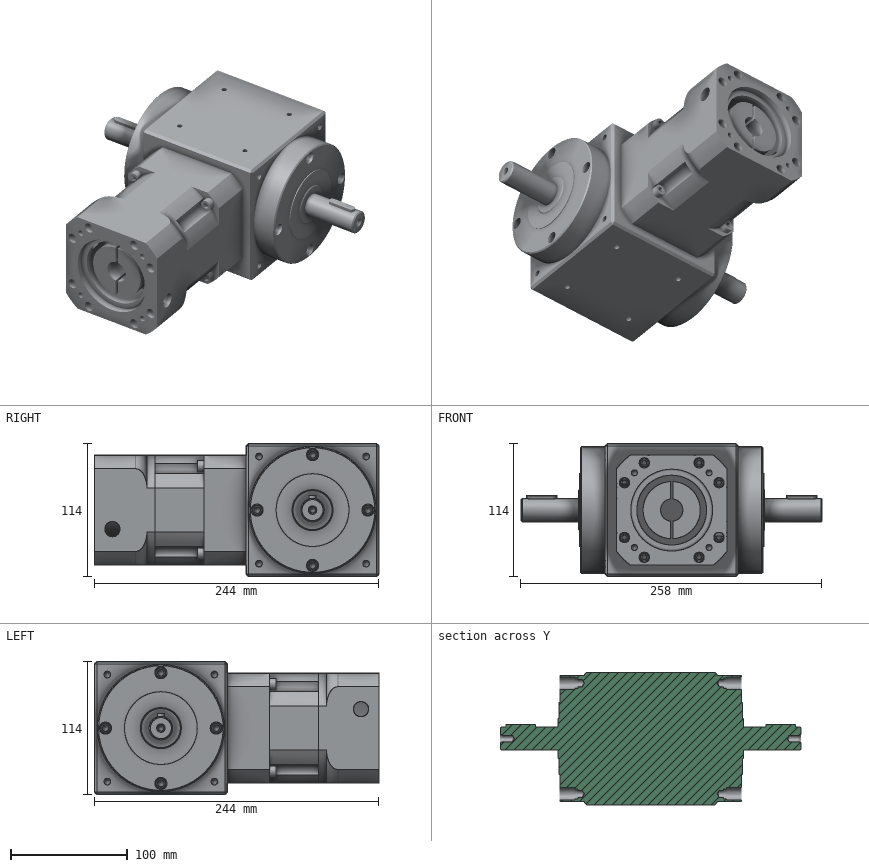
import cadquery as cq
import math


LENGTH = 258.0
HOUSING_SIDE = 114.0
HOUSING_HALF = HOUSING_SIDE / 2
HOUSING_CHAMFER = 2.0
TAPPED_DEPTH = 10.3
TOP_HOLE_RADIUS = 2.3
TOP_HOLE_OFFSET = 33.8
SIDE_HOLE_RADIUS = 2.8
SIDE_HOLE_OFFSET = 46.0

FLANGE_FACE = 78.2
FLANGE_RADIUS = 54.5
FLANGE_CHAMFER = 1.0
COVER_RADIUS = 31.2
SEAL_RADIUS = 17.5
SEAL_CHAMFER = 0.8
COVER_STEP = 0.8
FLANGE_SCREW_CIRCLE = 47.5
FLANGE_RECESS_STEPS = ((5.2, 13.0), (4.0, 2.5))
FLANGE_CORE_RADIUS = 2.8
FLANGE_CORE_DEPTH = 3.9
SHAFT_RADIUS = 10.0
SHAFT_CHAMFER = 1.0
CENTRE_HOLE_RADIUS = 2.5
CENTRE_HOLE_DEPTH = 10.3
COUNTERSINK_RADIUS = 3.5
COUNTERSINK_DEPTH = 2.0

KEY_LENGTH = 25.8
KEY_WIDTH = 6.0
KEY_TOP = 12.5
KEY_END_GAP = 4.6

STAGE_WIDTH = 94.5
OUTER_CORNER_RADIUS = 59.0
NECK_CORNER_RADIUS = 50.8
BLOCK_END = -93.1
GEAR_STAGE_END = -135.0
NECK_END = -141.6
ADAPTER_END = -187.0
SHOULDER_FILLET = 10.3
STAGE_SCREW_OFFSET = 37.5
SCREW_HEAD_RADIUS = 5.0
SCREW_HEAD_HEIGHT = 5.7
SCREW_SOCKET_WIDTH = 5.0
SCREW_SOCKET_DEPTH = 3.0
GROOVE_RADIUS = 6.7

PILOT_RADIUS = 35.0
PILOT_DEPTH = 6.2
CAVITY_RADIUS = 30.0
CAVITY_DEPTH = 33.5
HUB_RADIUS = 24.5
HUB_RECESS = 7.7
HUB_BORE_RADIUS = 9.5
HUB_SLOT_WIDTH = 2.3
ACCESS_HOLE_RADIUS = 6.5
ACCESS_HOLE_SETBACK = 15.5
ACCESS_HOLE_HEIGHT = 16.3
MOTOR_HOLE_NEAR = 23.5
MOTOR_HOLE_FAR = 40.5
MOTOR_RECESS_STEPS = ((4.5, 13.0), (3.4, 2.5), (2.0, 2.5))
ADAPTER_TAPPED_RADIUS = 2.5
ADAPTER_TAPPED_OFFSET = 32.0

DRILL_POINT_ANGLE = 118.0
DRILL_POINT_SLOPE = 1 / math.tan(math.radians(DRILL_POINT_ANGLE / 2))

X_AXIS = cq.Vector(1, 0, 0)
Y_AXIS = cq.Vector(0, 1, 0)
Z_AXIS = cq.Vector(0, 0, 1)
SIGNS = (-1, 1)


def cylinder(radius, height, start, direction):
    return cq.Workplane(cq.Solid.makeCylinder(radius, height, start, direction))


def drilled_hole(radius, depth, start, direction):
    """Cutter for a blind hole with a conical bottom."""
    point_height = radius * DRILL_POINT_SLOPE
    point = cq.Solid.makeCone(radius, 0, point_height, start + direction * depth, direction)
    return cylinder(radius, depth, start, direction).union(cq.Workplane(point))


def stepped_recess(steps, start, direction):
    """Cutter made of coaxial (radius, length) steps, the widest one first."""
    recess = cq.Workplane()
    for radius, length in steps:
        recess = recess.add(cylinder(radius, length, start, direction))
        start = start + direction * length
    return recess.combine()


def rounded_square(start_y, end_y, corner_radius, shoulder_fillet=0):
    """Square bar along -Y cut to a cylinder, which may have a filleted rim at its start."""
    length = start_y - end_y
    bar = cq.Workplane("XY").box(STAGE_WIDTH, length, STAGE_WIDTH)
    bar = bar.translate((0, (start_y + end_y) / 2, 0))
    envelope = cylinder(corner_radius, length, cq.Vector(0, start_y, 0), -Y_AXIS)
    if shoulder_fillet:
        envelope = envelope.faces(">Y").edges().fillet(shoulder_fillet)
    return bar.intersect(envelope)


def square_pattern(offset):
    """Four corner positions of a square centred on the origin."""
    return [(a * offset, b * offset) for a in SIGNS for b in SIGNS]



def housing():
    body = cq.Workplane("XY").box(HOUSING_SIDE, HOUSING_SIDE, HOUSING_SIDE)
    body = body.edges().chamfer(HOUSING_CHAMFER)
    for side in SIGNS:
        for x, y in square_pattern(TOP_HOLE_OFFSET):
            start = cq.Vector(x, y, side * HOUSING_HALF)
            body = body.cut(drilled_hole(TOP_HOLE_RADIUS, TAPPED_DEPTH, start, Z_AXIS * -side))
        for y, z in square_pattern(SIDE_HOLE_OFFSET):
            start = cq.Vector(side * HOUSING_HALF, y, z)
            body = body.cut(drilled_hole(SIDE_HOLE_RADIUS, TAPPED_DEPTH, start, X_AXIS * -side))
    return body


def flange_screw_recess(y, z):
    """Cutter for one stepped recess in the flange on the +X side, ending in a drill point."""
    recess = stepped_recess(FLANGE_RECESS_STEPS, cq.Vector(FLANGE_FACE, y, z), -X_AXIS)
    depth = sum(length for radius, length in FLANGE_RECESS_STEPS)
    core = cq.Vector(FLANGE_FACE - depth, y, z)
    return recess.union(drilled_hole(FLANGE_CORE_RADIUS, FLANGE_CORE_DEPTH, core, -X_AXIS))


def output_flange():
    """Flange on the +X side with its bearing cover, seal and screw recesses."""
    start = cq.Vector(HOUSING_HALF, 0, 0)
    thickness = FLANGE_FACE - HOUSING_HALF
    flange = cylinder(FLANGE_RADIUS, thickness, start, X_AXIS).faces(">X").chamfer(FLANGE_CHAMFER)
    flange = flange.union(cylinder(COVER_RADIUS, thickness + COVER_STEP, start, X_AXIS))
    seal = cylinder(SEAL_RADIUS, thickness + 2 * COVER_STEP, start, X_AXIS)
    seal = seal.faces(">X").chamfer(SEAL_CHAMFER)
    flange = flange.union(seal)
    for y, z in ((1, 0), (0, 1), (-1, 0), (0, -1)):
        flange = flange.cut(flange_screw_recess(y * FLANGE_SCREW_CIRCLE, z * FLANGE_SCREW_CIRCLE))
    return flange


def output_shaft():
    """Shaft end on the +X side with its key and centre hole."""
    end = LENGTH / 2
    start = cq.Vector(HOUSING_HALF, 0, 0)
    shaft = cylinder(SHAFT_RADIUS, end - HOUSING_HALF, start, X_AXIS)
    shaft = shaft.faces(">X").chamfer(SHAFT_CHAMFER)
    key_centre = end - KEY_END_GAP - KEY_LENGTH / 2
    key = cq.Workplane("XY").center(key_centre, 0).slot2D(KEY_LENGTH, KEY_WIDTH).extrude(KEY_TOP)
    tip = cq.Vector(end, 0, 0)
    countersink = cq.Solid.makeCone(
        COUNTERSINK_RADIUS, CENTRE_HOLE_RADIUS, COUNTERSINK_DEPTH, tip, -X_AXIS
    )
    centre_hole = drilled_hole(CENTRE_HOLE_RADIUS, CENTRE_HOLE_DEPTH, tip, -X_AXIS)
    return shaft.union(key).cut(centre_hole).cut(cq.Workplane(countersink))


def corner_screw_head(x, z):
    """Socket screw head standing on the end of the input block."""
    head = cylinder(SCREW_HEAD_RADIUS, SCREW_HEAD_HEIGHT, cq.Vector(x, BLOCK_END, z), -Y_AXIS)
    socket_corners = SCREW_SOCKET_WIDTH / math.cos(math.radians(30))
    return head.faces("<Y").workplane(origin=(x, 0, z)).polygon(6, socket_corners).cutBlind(
        -SCREW_SOCKET_DEPTH
    )


def make_gearbox():
    output_side = output_flange().union(output_shaft())
    gearbox = housing().union(output_side).union(output_side.mirror("YZ"))
    gearbox = gearbox.union(rounded_square(-HOUSING_HALF, BLOCK_END, OUTER_CORNER_RADIUS))
    for x, z in square_pattern(STAGE_SCREW_OFFSET):
        gearbox = gearbox.union(corner_screw_head(x, z))
    return gearbox



def make_gear_stage():
    stage = rounded_square(BLOCK_END, GEAR_STAGE_END, NECK_CORNER_RADIUS)
    for x, z in square_pattern(STAGE_SCREW_OFFSET):
        start = cq.Vector(x, BLOCK_END, z)
        stage = stage.cut(cylinder(GROOVE_RADIUS, BLOCK_END - GEAR_STAGE_END, start, -Y_AXIS))
    return stage



def adapter_outline():
    """Full-length core that shows as the neck, with a round-shouldered wide section around it."""
    core = rounded_square(GEAR_STAGE_END, ADAPTER_END, NECK_CORNER_RADIUS)
    wide_section = rounded_square(NECK_END, ADAPTER_END, OUTER_CORNER_RADIUS, SHOULDER_FILLET)
    return core.union(wide_section)


def hub_cavity():
    """Cutter for the pilot bore and the cavity around the slotted clamping hub."""
    face = cq.Vector(0, ADAPTER_END, 0)
    hub_face = face + Y_AXIS * HUB_RECESS
    hub_length = CAVITY_DEPTH - HUB_RECESS
    hub = cylinder(HUB_RADIUS, hub_length, hub_face, Y_AXIS)
    hub = hub.cut(cylinder(HUB_BORE_RADIUS, hub_length, hub_face, Y_AXIS))
    slot = cq.Workplane("XY").box(HUB_SLOT_WIDTH, hub_length, 2 * HUB_RADIUS)
    hub = hub.cut(slot.translate((0, ADAPTER_END + HUB_RECESS + hub_length / 2, 0)))
    pilot = cylinder(PILOT_RADIUS, PILOT_DEPTH, face, Y_AXIS)
    return pilot.union(cylinder(CAVITY_RADIUS, CAVITY_DEPTH, face, Y_AXIS)).cut(hub)


def access_hole(side):
    """Cutter for a clamp screw hole from one X side into the cavity."""
    hole_y = ADAPTER_END + ACCESS_HOLE_SETBACK
    mouth = cq.Vector(side * STAGE_WIDTH / 2, hole_y, -side * ACCESS_HOLE_HEIGHT)
    hub_edge = math.sqrt(HUB_RADIUS**2 - ACCESS_HOLE_HEIGHT**2)
    hole = cylinder(ACCESS_HOLE_RADIUS, STAGE_WIDTH / 2 - hub_edge, mouth, X_AXIS * -side)
    return hole.cut(cylinder(HUB_RADIUS, CAVITY_DEPTH, cq.Vector(0, ADAPTER_END, 0), Y_AXIS))


def motor_screw_recess(x, z):
    """Cutter for one stepped recess in the adapter face."""
    return stepped_recess(MOTOR_RECESS_STEPS, cq.Vector(x, ADAPTER_END, z), Y_AXIS)


def make_motor_adapter():
    adapter = adapter_outline().cut(hub_cavity())
    for side in SIGNS:
        adapter = adapter.cut(access_hole(side))
    for a in SIGNS:
        for b in SIGNS:
            adapter = adapter.cut(motor_screw_recess(a * MOTOR_HOLE_NEAR, b * MOTOR_HOLE_FAR))
            adapter = adapter.cut(motor_screw_recess(a * MOTOR_HOLE_FAR, b * MOTOR_HOLE_NEAR))
    for x, z in square_pattern(ADAPTER_TAPPED_OFFSET):
        start = cq.Vector(x, ADAPTER_END, z)
        adapter = adapter.cut(drilled_hole(ADAPTER_TAPPED_RADIUS, TAPPED_DEPTH, start, Y_AXIS))
    return adapter


gearbox = make_gearbox()
gear_stage = make_gear_stage()
motor_adapter = make_motor_adapter()

result = cq.Compound.makeCompound([
    gearbox.solids().val(),
    gear_stage.solids().val(),
    motor_adapter.solids().val(),
])